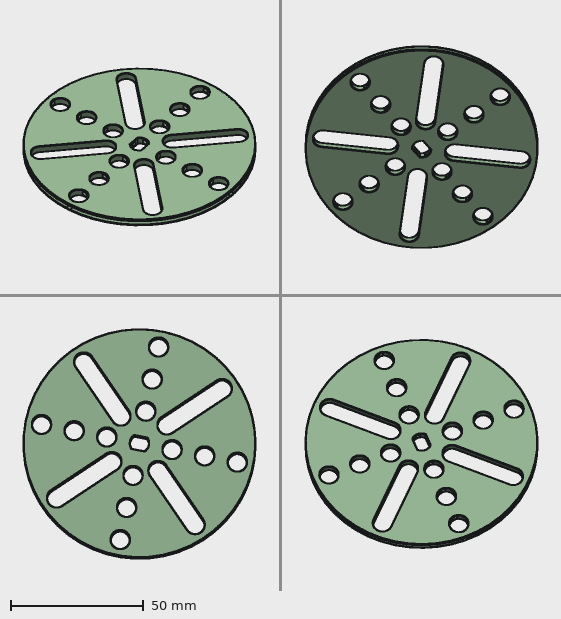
import cadquery as cq

disc_diameter = 87.5
thickness = 3.15
edge_chamfer = 0.3

groove_width = 1.6
groove_depth = groove_width / 2

hole_diameter = 7.0
hole_pitch = 12.5
holes_per_arm = 3
arm_count = 4
slot_inner_radius = hole_pitch
slot_outer_radius = hole_pitch * holes_per_arm
slot_start_angle = 45.0

shaft_diameter = hole_diameter
shaft_flat_width = 5.1

cross_hole_diameter = 2.0

seam_turn = 30.0

disc_radius = disc_diameter / 2
arm_angles = [index * 360 / arm_count for index in range(arm_count)]


def bottom_plane():
    """Workplane on the lower flat face of the disc."""
    return cq.Workplane("XY").workplane(offset=-thickness / 2)


def make_rimmed_disc():
    """Disc with chamfered edges and a V-groove in its rim, revolved about Z."""
    half_thickness = thickness / 2
    half_groove = groove_width / 2
    profile = (
        cq.Workplane("XZ")
        .moveTo(0, -half_thickness)
        .lineTo(disc_radius - edge_chamfer, -half_thickness)
        .lineTo(disc_radius, edge_chamfer - half_thickness)
        .lineTo(disc_radius, -half_groove)
        .lineTo(disc_radius - groove_depth, 0)
        .lineTo(disc_radius, half_groove)
        .lineTo(disc_radius, half_thickness - edge_chamfer)
        .lineTo(disc_radius - edge_chamfer, half_thickness)
        .lineTo(0, half_thickness)
        .close()
    )
    disc = profile.revolve(360, (0, 0, 0), (0, 1, 0))
    return disc.rotate((0, 0, 0), (0, 0, 1), seam_turn)


def make_hole_cutter():
    """Rows of round holes along both the X and the Y axis."""
    cutter = cq.Workplane("XY")
    for angle in arm_angles:
        for step in range(1, holes_per_arm + 1):
            hole = (
                bottom_plane()
                .center(step * hole_pitch, 0)
                .transformed(rotate=(0, 0, seam_turn))
                .circle(hole_diameter / 2)
                .extrude(thickness)
            )
            cutter = cutter.add(hole.rotate((0, 0, 0), (0, 0, 1), angle))
    return cutter.combine()


def make_slot_cutter():
    """Radial slots on the diagonals between the rows of holes."""
    slot_middle = (slot_inner_radius + slot_outer_radius) / 2
    slot_length = slot_outer_radius - slot_inner_radius + hole_diameter
    slot = (
        bottom_plane()
        .center(slot_middle, 0)
        .slot2D(slot_length, hole_diameter)
        .extrude(thickness)
    )
    cutter = cq.Workplane("XY")
    for angle in arm_angles:
        cutter = cutter.add(slot.rotate((0, 0, 0), (0, 0, 1), angle + slot_start_angle))
    return cutter.combine()


def make_shaft_cutter():
    """Round bore narrowed by two flats facing along X."""
    bore = bottom_plane().circle(shaft_diameter / 2).extrude(thickness)
    flats = cq.Workplane("XY").box(shaft_flat_width, shaft_diameter, thickness)
    return bore.intersect(flats)


def make_cross_hole(plane):
    """Thin hole across the full diameter, normal to the given plane."""
    rim_plane = cq.Workplane(plane).transformed(rotate=(0, 0, seam_turn), offset=(0, 0, -disc_radius))
    return rim_plane.circle(cross_hole_diameter / 2).extrude(disc_diameter)


def chamfer_opening_edges(plate):
    """Chamfer every opening on both flat faces, leaving the outer outlines alone."""
    openings = []
    for face in plate.faces("|Z").vals():
        for wire in face.innerWires():
            openings.extend(wire.Edges())
    return plate.newObject(openings).chamfer(edge_chamfer)


plate = make_rimmed_disc()
plate = plate.cut(make_hole_cutter())
plate = plate.cut(make_slot_cutter())
plate = plate.cut(make_shaft_cutter())
plate = chamfer_opening_edges(plate)
for drilling_plane in ("YZ", "XZ"):
    plate = plate.cut(make_cross_hole(drilling_plane))

result = plate